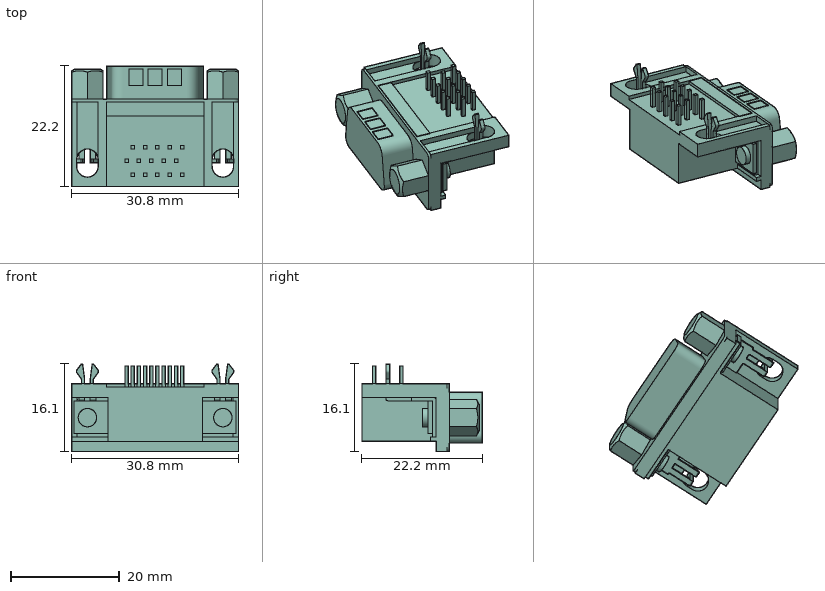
import cadquery as cq
import math


WIDTH = 30.8
TOP = 12.57
FLANGE_BACK = 13.68
FLANGE_FRONT = 15.65
BODY_WIDTH = 17.45
BODY_BOTTOM = 1.9
LEDGE_BOTTOM = 9.98
LIP_HEIGHT = 0.77
LIP_BACK = 12.7

RECESS_WIDTH = 17.93
RECESS_FRONT = 13.0
RECESS_DEPTH = 0.68
STRIP_DEPTH = 0.12

MOUNT_X = 12.48
MOUNT_Z = TOP / 2

SLOT_WIDTH = 3.9
SLOT_BACK = 1.8
OPENING_LENGTH = 5.15
GROOVE_DEPTH = 1.08

PLATE_THICKNESS = 0.5
PLATE_FRONT = FLANGE_FRONT + PLATE_THICKNESS
PLATE_CORNER_RADIUS = 0.8

SHELL_FRONT = 22.2
SHELL_TOP = 11.0
SHELL_BOTTOM = 1.57
SHELL_TOP_FLAT = 11.9
SHELL_SIDE_ANGLE = 9.0
SHELL_TOP_RADIUS = 2.05
SHELL_BOTTOM_RADIUS = 1.55

WINDOW_WIDTH = 2.62
WINDOW_LENGTH = 3.02
WINDOW_PITCH = 3.55
WINDOW_BACK = 18.65
WINDOW_DEPTH = 0.15
WINDOW_COUNT = 3

HEX_FLATS = 5.8
HEX_FRONT = 21.7
HEX_TIP_RADIUS = 2.35
HEX_CHAMFER_ANGLE = 30.0

BRACKET_OUTER_X = 14.4
BRACKET_THICKNESS = 0.65
BRACKET_BOTTOM = BODY_BOTTOM + LIP_HEIGHT
ARM_THICKNESS = 0.6
ARM_BACK = 9.12
BEND_RADIUS = 0.37
NUT_OUTER_X = 14.95
NUT_BOTTOM = 3.35
NUT_TOP = 9.37
NUT_THICKNESS = 0.83
SCREW_RADIUS = 1.7
SCREW_LENGTH = 1.0

CLIP_TOP = 16.15
CLIP_BACK = 4.4
CLIP_THICKNESS = 0.75
PRONG_INNER = 0.5
PRONG_OUTER = 1.1
FINGER_OUTER = 1.57
TIP_INNER = 0.85
TIP_OUTER = 1.15
BARB_OUTER = 2.03
BARB_SHOULDER = 1.97
BARB_TOP_Z = 15.07
BARB_BOTTOM_Z = 14.57
NECK_Z = 13.37

PIN_SIDE = 0.65
PIN_TOP = 15.8
PIN_PITCH = 2.28
PIN_COUNT = 5
PIN_STAGGER = PIN_PITCH / 4
PIN_CENTER_X = -0.14
PIN_ROW_MIDDLE_Y = 4.78
PIN_ROW_PITCH = 2.53


def block(x_range, y_range, z_range):
    """Box spanning the given (low, high) limits along each axis."""
    low = [min(limits) for limits in (x_range, y_range, z_range)]
    size = [abs(limits[1] - limits[0]) for limits in (x_range, y_range, z_range)]
    return cq.Workplane("XY").box(*size, centered=False).translate(tuple(low))


def centered_block(width, y_range, z_range):
    """Box centered on X = 0."""
    return block((-width / 2, width / 2), y_range, z_range)


def facing_front(y):
    """Sketch plane at the given Y: local x is -X, local y is Z, extrusion toward +Y."""
    return cq.Workplane("XZ", origin=(0, y, 0)).transformed(rotate=(0, 180, 0))


def make_housing():
    body = centered_block(BODY_WIDTH, (0, FLANGE_FRONT), (BODY_BOTTOM, TOP))
    ledge = centered_block(WIDTH, (0, FLANGE_FRONT), (LEDGE_BOTTOM, TOP))
    flange = centered_block(WIDTH, (FLANGE_BACK, FLANGE_FRONT), (0, TOP))
    lip = centered_block(WIDTH, (LIP_BACK, FLANGE_BACK), (BODY_BOTTOM, BODY_BOTTOM + LIP_HEIGHT))
    recess = centered_block(RECESS_WIDTH, (0, RECESS_FRONT), (TOP - RECESS_DEPTH, TOP))
    strip = centered_block(RECESS_WIDTH, (RECESS_FRONT, FLANGE_FRONT), (TOP - STRIP_DEPTH, TOP))
    housing = body.union(ledge).union(flange).union(lip).cut(recess).cut(strip)
    for side in (-1, 1):
        housing = housing.cut(make_clip_slot(side * MOUNT_X))
    return housing


def make_clip_slot(x):
    """Obround opening through the ledge, joined to a groove running to the face plate."""
    opening_y = SLOT_BACK + OPENING_LENGTH / 2
    opening = (
        cq.Workplane("XY", origin=(x, opening_y, LEDGE_BOTTOM))
        .slot2D(OPENING_LENGTH, SLOT_WIDTH, 90)
        .extrude(TOP - LEDGE_BOTTOM)
    )
    groove = block(
        (x - SLOT_WIDTH / 2, x + SLOT_WIDTH / 2),
        (opening_y, FLANGE_FRONT),
        (TOP - GROOVE_DEPTH, TOP),
    )
    return opening.union(groove)


def make_face_plate():
    plate = centered_block(WIDTH, (FLANGE_FRONT, PLATE_FRONT), (0, TOP))
    return plate.edges("|Y").fillet(PLATE_CORNER_RADIUS)


def make_shell():
    """D-shaped shell with rounded corners and shallow windows in its top."""
    angle = math.radians(SHELL_SIDE_ANGLE)
    corner_tangent = SHELL_TOP_RADIUS * math.tan((math.pi / 2 - angle) / 2)
    top_half = SHELL_TOP_FLAT / 2 + corner_tangent
    bottom_half = top_half + (SHELL_TOP - SHELL_BOTTOM) * math.tan(angle)
    shell = (
        facing_front(PLATE_FRONT)
        .polyline([
            (-top_half, SHELL_TOP),
            (top_half, SHELL_TOP),
            (bottom_half, SHELL_BOTTOM),
            (-bottom_half, SHELL_BOTTOM),
        ])
        .close()
        .extrude(SHELL_FRONT - PLATE_FRONT)
    )
    shell = shell.edges("|Y and >Z").fillet(SHELL_TOP_RADIUS)
    shell = shell.edges("|Y and <Z").fillet(SHELL_BOTTOM_RADIUS)
    for index in range(WINDOW_COUNT):
        x = (index - (WINDOW_COUNT - 1) / 2) * WINDOW_PITCH
        window = centered_block(
            WINDOW_WIDTH,
            (WINDOW_BACK, WINDOW_BACK + WINDOW_LENGTH),
            (SHELL_TOP - WINDOW_DEPTH, SHELL_TOP),
        )
        shell = shell.cut(window.translate((x, 0, 0)))
    return shell


def make_standoff(x):
    """Hexagonal standoff with vertical side flats and a conically chamfered tip."""
    length = HEX_FRONT - PLATE_FRONT
    corner_diameter = HEX_FLATS / math.cos(math.pi / 6)
    hexagon = (
        facing_front(PLATE_FRONT)
        .center(-x, MOUNT_Z)
        .transformed(rotate=(0, 0, 90))
        .polygon(6, corner_diameter)
        .extrude(length)
    )
    base_radius = HEX_TIP_RADIUS + length / math.tan(math.radians(HEX_CHAMFER_ANGLE))
    cone = cq.Workplane(
        cq.Solid.makeCone(
            base_radius,
            HEX_TIP_RADIUS,
            length,
            pnt=cq.Vector(x, PLATE_FRONT, MOUNT_Z),
            dir=cq.Vector(0, 1, 0),
        )
    )
    return hexagon.intersect(cone)


def make_bracket():
    """Left bracket: upright plate and arm under the ledge, with the nut and screw end."""
    inner_x = -BODY_WIDTH / 2
    plate_back = FLANGE_BACK - BRACKET_THICKNESS
    plate = block(
        (-BRACKET_OUTER_X, inner_x), (plate_back, FLANGE_BACK), (BRACKET_BOTTOM, LEDGE_BOTTOM)
    )
    arm = block(
        (-BRACKET_OUTER_X, inner_x),
        (ARM_BACK, FLANGE_BACK),
        (LEDGE_BOTTOM - ARM_THICKNESS, LEDGE_BOTTOM),
    )
    bracket = plate.union(arm).edges("|X and >Y and >Z").fillet(BEND_RADIUS)
    nut_back = plate_back - NUT_THICKNESS
    nut = block((-NUT_OUTER_X, inner_x), (nut_back, plate_back), (NUT_BOTTOM, NUT_TOP))
    screw = (
        cq.Workplane("XZ", origin=(-MOUNT_X, nut_back, MOUNT_Z))
        .circle(SCREW_RADIUS)
        .extrude(SCREW_LENGTH)
    )
    bracket = bracket.union(nut).union(screw)
    prong = make_prong()
    for half in (prong, prong.mirror("YZ")):
        bracket = bracket.union(half.translate((-MOUNT_X, 0, 0)))
    return bracket


def make_prong():
    """Prong on the +X side of a mounting station at X = 0: finger, bend and barbed upright."""
    finger_bottom = LEDGE_BOTTOM - ARM_THICKNESS
    finger = block(
        (PRONG_INNER, FINGER_OUTER), (CLIP_BACK, ARM_BACK), (finger_bottom, LEDGE_BOTTOM)
    )
    finger = finger.edges("|X and <Y and <Z").fillet(BEND_RADIUS)
    upright = (
        cq.Workplane("XZ", origin=(0, CLIP_BACK + CLIP_THICKNESS, 0))
        .moveTo(PRONG_INNER, LEDGE_BOTTOM)
        .lineTo(PRONG_OUTER, LEDGE_BOTTOM)
        .lineTo(PRONG_OUTER, NECK_Z)
        .lineTo(BARB_SHOULDER, BARB_BOTTOM_Z)
        .threePointArc(
            (BARB_OUTER, (BARB_BOTTOM_Z + BARB_TOP_Z) / 2), (BARB_SHOULDER, BARB_TOP_Z)
        )
        .lineTo(TIP_OUTER, CLIP_TOP)
        .lineTo(TIP_INNER, CLIP_TOP)
        .lineTo(PRONG_INNER, NECK_Z)
        .close()
        .extrude(CLIP_THICKNESS)
    )
    return finger.union(upright)


def make_pins():
    """Three rows of square tails, the middle row staggered sideways."""
    centers = []
    for row in (-1, 0, 1):
        stagger = -PIN_STAGGER if row == 0 else PIN_STAGGER
        for column in range(PIN_COUNT):
            x = PIN_CENTER_X + stagger + (column - (PIN_COUNT - 1) / 2) * PIN_PITCH
            centers.append((x, PIN_ROW_MIDDLE_Y + row * PIN_ROW_PITCH))
    base_z = TOP - RECESS_DEPTH
    return (
        cq.Workplane("XY", origin=(0, 0, base_z))
        .pushPoints(centers)
        .rect(PIN_SIDE, PIN_SIDE)
        .extrude(PIN_TOP - base_z)
    )


left_bracket = make_bracket()
add_ons = [
    make_face_plate(),
    make_shell(),
    make_standoff(-MOUNT_X),
    make_standoff(MOUNT_X),
    left_bracket,
    left_bracket.mirror("YZ"),
    make_pins(),
]

result = make_housing()
for add_on in add_ons:
    result = result.union(add_on, clean=False)